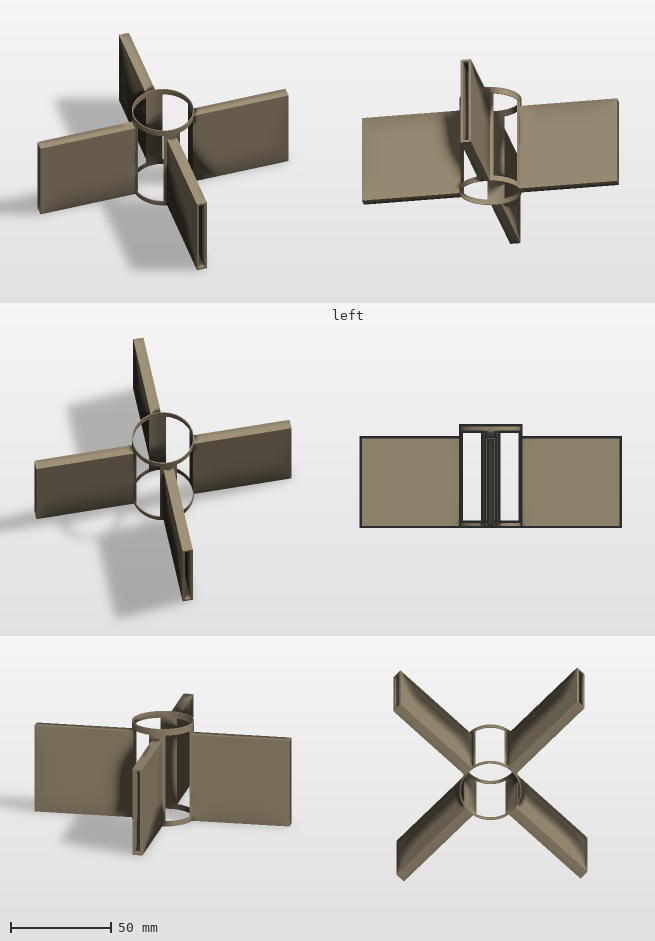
import cadquery as cq

span = 130.0
outer_diameter = 31.0
bore_diameter = 30.0
joint_diameter = (outer_diameter + bore_diameter) / 2
sleeve_height = 51.0

window_bottom = 2.7
window_top = 47.6
hub_post_width = 4.2
liner_post_width = 8.6

vane_count = 4
vane_height = 45.0
vane_thickness = 5.2
vane_wall = 1.2


def make_cage(outside, inside, post_width):
    """Thin sleeve whose four windows leave straight-sided posts on the X and Y axes."""
    cage = cq.Workplane("XY").circle(outside / 2).circle(inside / 2).extrude(sleeve_height)
    window_height = window_top - window_bottom
    corner_offset = (outside + post_width) / 2
    windows = (
        cq.Workplane("XY", origin=(0, 0, window_bottom))
        .rect(2 * corner_offset, 2 * corner_offset, forConstruction=True)
        .vertices()
        .rect(outside, outside)
        .extrude(window_height)
    )
    return cage.cut(windows)


def make_vane(angle):
    """Rectangular tube, open at its tip, whose root follows the round hub."""
    vane = (
        cq.Workplane("YZ")
        .center(0, vane_height / 2)
        .rect(vane_thickness, vane_height)
        .rect(vane_thickness - 2 * vane_wall, vane_height - 2 * vane_wall)
        .extrude(span / 2)
    )
    hub_space = cq.Workplane("XY").circle(outer_diameter / 2).extrude(sleeve_height)
    return vane.cut(hub_space).rotate((0, 0, 0), (0, 0, 1), angle)


def make_rotor():
    """Outer windowed hub carrying the vanes."""
    rotor = make_cage(outer_diameter, joint_diameter, hub_post_width)
    for index in range(vane_count):
        rotor = rotor.union(make_vane(index * 360 / vane_count))
    return rotor


def make_liner():
    """Inner windowed sleeve with wider posts, seated in the hub."""
    return make_cage(joint_diameter, bore_diameter, liner_post_width)


rotor = make_rotor()
liner = make_liner()

result = cq.Compound.makeCompound([rotor.val(), liner.val()])